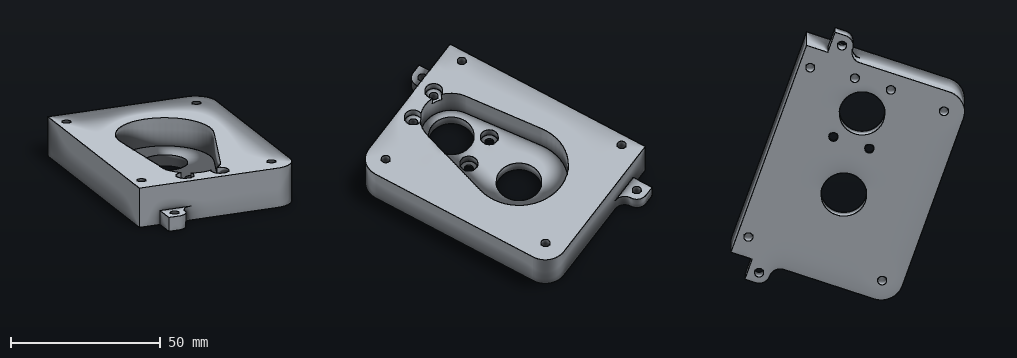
import math

import cadquery as cq

plate_width = 77.39
plate_depth = 58.0
plate_height = 14.0
corner_radius = 7.5

screw_diameter = 3.0
corner_hole_x = 31.65
corner_hole_front_y = 3.75
corner_hole_rear_y = 51.0

ear_height = 5.0
ear_front_y = 7.5
ear_depth = 7.5
ear_rear_y = ear_front_y + ear_depth
ear_radius = ear_depth / 2
ear_hole_x = plate_width / 2 + ear_radius
ear_tip_x = ear_hole_x + ear_radius
ear_hole_y = ear_front_y + ear_radius

pocket_floor = 4.0
large_x = -7.1
large_y = 29.0
large_radius = 16.5
small_x = 22.0
small_y = 25.4
small_radius = 10.35
bore_diameter = 15.2

motor_spacing_x = 22.0
motor_spacing_y = 12.7
counterbore_diameter = 6.0
counterbore_depth = 3.0
inner_seat_z = pocket_floor - counterbore_depth
outer_seat_z = plate_height - counterbore_depth


def cylinder(x, y, diameter, bottom, top):
    """Vertical cylinder between two heights."""
    return cq.Workplane("XY", origin=(x, y, bottom)).circle(diameter / 2).extrude(top - bottom)


def make_plate():
    block = cq.Workplane("XY").box(plate_width, plate_depth, plate_height, centered=(True, False, False))
    return block.edges("|Z and >Y").fillet(corner_radius)


def make_right_ear():
    """Ear with a rounded outer corner, blended into the plate side by a concave arc."""
    diagonal = ear_radius * math.sqrt(0.5)
    blend_y = ear_rear_y + ear_radius
    blend_x = plate_width / 2
    outline = (
        cq.Workplane("XY")
        .moveTo(ear_tip_x, ear_front_y)
        .lineTo(ear_tip_x, ear_hole_y)
        .threePointArc((ear_hole_x + diagonal, ear_hole_y + diagonal), (ear_hole_x, ear_rear_y))
        .threePointArc((ear_hole_x - diagonal, blend_y - diagonal), (blend_x, blend_y))
        .lineTo(blend_x, ear_front_y)
        .close()
    )
    return outline.extrude(ear_height)


def make_pocket():
    """Pocket cutter bounded by the large arc, the small arc and two tangent lines."""
    offset_x = small_x - large_x
    offset_y = small_y - large_y
    axis_angle = math.atan2(offset_y, offset_x)
    spread = math.acos((large_radius - small_radius) / math.hypot(offset_x, offset_y))

    def on_large(angle):
        return (large_x + large_radius * math.cos(angle), large_y + large_radius * math.sin(angle))

    def on_small(angle):
        return (small_x + small_radius * math.cos(angle), small_y + small_radius * math.sin(angle))

    upper = axis_angle + spread
    lower = axis_angle - spread
    outline = (
        cq.Workplane("XY", origin=(0, 0, pocket_floor))
        .moveTo(*on_large(upper))
        .threePointArc(on_large(axis_angle + math.pi), on_large(lower))
        .lineTo(*on_small(lower))
        .threePointArc(on_small(axis_angle), on_small(upper))
        .close()
    )
    return outline.extrude(plate_height - pocket_floor)


def cut_screw_holes(body):
    for side in (-1, 1):
        x = side * corner_hole_x
        for y in (corner_hole_front_y, corner_hole_rear_y):
            body = body.cut(cylinder(x, y, screw_diameter, 0, plate_height))
        body = body.cut(cylinder(side * ear_hole_x, ear_hole_y, screw_diameter, 0, ear_height))
    return body


def cut_motor_holes(body):
    """Inner seats sink below the pocket floor; outer seats sink below the plate top."""
    for side, seat_z in ((-1, inner_seat_z), (1, outer_seat_z)):
        x = small_x + side * motor_spacing_x / 2
        for row in (-1, 1):
            y = small_y + row * motor_spacing_y / 2
            body = body.cut(cylinder(x, y, screw_diameter, 0, plate_height))
            body = body.cut(cylinder(x, y, counterbore_diameter, seat_z, seat_z + counterbore_depth))
    return body


right_ear = make_right_ear()
body = make_plate().union(right_ear).union(right_ear.mirror("YZ"))
body = body.cut(make_pocket())
for bore_x, bore_y in ((large_x, large_y), (small_x, small_y)):
    body = body.cut(cylinder(bore_x, bore_y, bore_diameter, 0, pocket_floor))
body = cut_screw_holes(body)
result = cut_motor_holes(body)